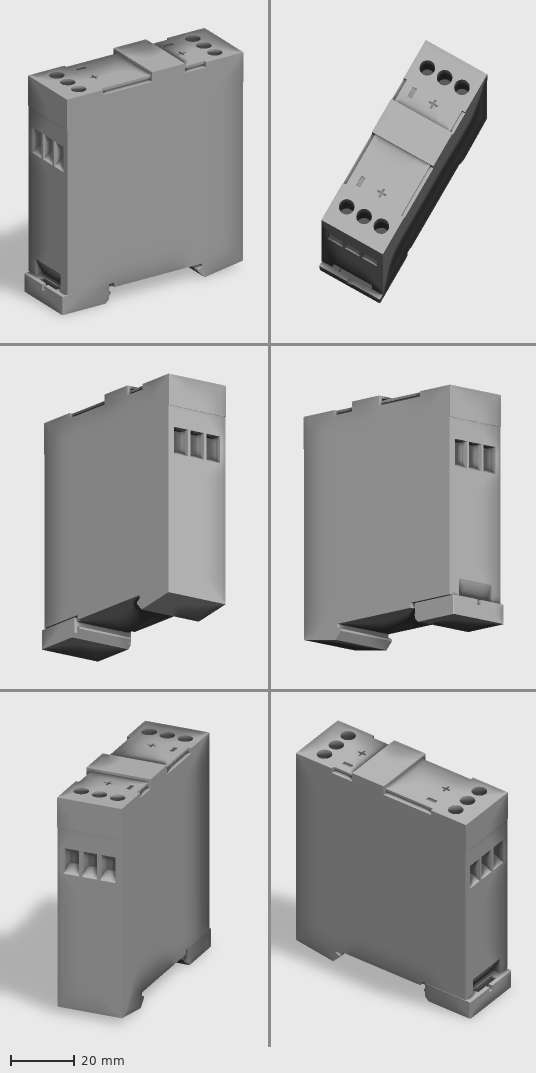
import cadquery as cq

WIDTH = 22.4
HOUSING_TOP = 74.4
HOUSING_FRONT = -32.55
HOUSING_REAR = 34.15
HOUSING_MID = (HOUSING_FRONT + HOUSING_REAR) / 2
HALF_WIDTH = WIDTH / 2

CAP_BOTTOM = 64.05
CAP_OVERHANG = 0.15
BASE_FRONT = HOUSING_FRONT + CAP_OVERHANG
BASE_REAR = HOUSING_REAR - CAP_OVERHANG

RAIL_SEAT = 5.0
FOOT_HEEL = 2.2
FOOT_TOE = 19.6
FOOT_TIP = 17.1
TIP_BOTTOM = 2.5
TIP_TOP = 3.1
HOOK_ROOT_TOP = 3.9
HOOK_DEPTH = 1.5

CLIP_FRONT = -34.15
CLIP_TOP = 6.3
CLIP_SIDE_INSET = 0.15
CLIP_EDGE_CHAMFER = 0.3
CLIP_TIP = -15.25
CLIP_TOE = -17.75
CLIP_CHEEK_REAR = -16.5
CLIP_CORE_WIDTH = 20.0
CLIP_WALL = 1.45
CLIP_SLIDE_FRONT = -29.8
CLIP_SHELF_TOP = 6.15
CLIP_POCKET_WIDTH = 9.6
CLIP_POCKET_LENGTH = 2.05
CLIP_POCKET_DEPTH = 3.0
SLOT_WIDTH = 1.45
SLOT_FRONT_FLOOR = 4.55
SLOT_REAR_FLOOR = 5.1
CLIP_SEAT_TOP = 6.6
CLIP_SEAT_REAR = -14.65

ACCESS_WIDTH = 14.4
ACCESS_TOP = 12.4
ACCESS_DEPTH = 2.8

TERMINAL_PITCH = 6.3
TERMINAL_COUNT = 3
ENTRY_WIDTH = 5.3
ENTRY_BOTTOM = 48.4
ENTRY_TOP = 57.2
ENTRY_DEPTH = 3.95
ENTRY_STRAIGHT = 2.2
ENTRY_BACK_WIDTH = 3.8
ENTRY_BACK_BOTTOM = 50.8
ENTRY_BACK_TOP = 55.2
ENTRY_ROOF_DEPTH = 3.65
BORE_DIAMETER = 4.9
BORE_DEPTH = 15.2
BORE_OFFSET = 25.7

DIAL_OFFSET = 16.5
DIAL_X = 1.15
DIAL_DIAMETER = 4.9
DIAL_HEIGHT = 2.3
CROSS_LENGTH = 3.0
CROSS_WIDTH = 0.7
CROSS_DEPTH = 0.75
LAMP_X = -6.45
LAMP_WIDTH = 1.45
LAMP_LENGTH = 3.5
LAMP_RECESS = 0.6
LAMP_HEIGHT = 1.5
LAMP_TOP = HOUSING_TOP - LAMP_RECESS
LAMP_BOTTOM = LAMP_TOP - LAMP_HEIGHT

GROOVE_REAR = 20.0
GROOVE_FRONT = -18.8
GROOVE_WIDTH = 1.15
GROOVE_BOTTOM = 72.6
UNDERCUT_TOP = 73.55
UNDERCUT_WIDTH = 0.6
BRIDGE_TOP = 75.9
BRIDGE_REAR = 12.1
BRIDGE_FRONT = -0.3
BRIDGE_UNDERSIDE = 75.1

TERMINAL_COLUMNS = [(i - (TERMINAL_COUNT - 1) / 2) * TERMINAL_PITCH for i in range(TERMINAL_COUNT)]
DIAL_ROWS = [HOUSING_MID - DIAL_OFFSET, HOUSING_MID + DIAL_OFFSET]


def block(x_range, y_range, z_range):
    """Box between the given limits."""
    (x0, x1), (y0, y1), (z0, z1) = x_range, y_range, z_range
    return cq.Workplane("XY").box(x1 - x0, y1 - y0, z1 - z0, centered=False).translate((x0, y0, z0))


def prism_along_x(points, width):
    """Prism of a (y, z) outline, centred on x = 0."""
    return cq.Workplane("YZ").polyline(points).close().extrude(width / 2, both=True)


def mirrored_in_x(shape):
    """The shape together with its mirror image across x = 0."""
    return shape.union(shape.mirror("YZ"))


def side_grooves(y_front, y_rear):
    """Both undercut grooves between two y positions."""
    wall = HALF_WIDTH - GROOVE_WIDTH
    channel = block((wall, HALF_WIDTH), (y_front, y_rear), (GROOVE_BOTTOM, HOUSING_TOP))
    undercut = block((wall - UNDERCUT_WIDTH, wall), (y_front, y_rear), (GROOVE_BOTTOM, UNDERCUT_TOP))
    return mirrored_in_x(channel.union(undercut))


def wire_entry(x):
    """Front wire entry: the floor slopes up and the sides taper near the back."""
    front, back = BASE_FRONT, BASE_FRONT + ENTRY_DEPTH
    roof_end = front + ENTRY_ROOF_DEPTH
    side = prism_along_x(
        [
            (front, ENTRY_BOTTOM),
            (back, ENTRY_BACK_BOTTOM),
            (back, ENTRY_BACK_TOP),
            (roof_end, ENTRY_TOP),
            (front, ENTRY_TOP),
        ],
        ENTRY_WIDTH,
    )
    half, half_back = ENTRY_WIDTH / 2, ENTRY_BACK_WIDTH / 2
    bend = front + ENTRY_STRAIGHT
    plan = (
        cq.Workplane("XY", origin=(0, 0, ENTRY_BOTTOM))
        .polyline(
            [(-half, front), (half, front), (half, bend), (half_back, back), (-half_back, back), (-half, bend)]
        )
        .close()
        .extrude(ENTRY_TOP - ENTRY_BOTTOM)
    )
    return side.intersect(plan).translate((x, 0, 0))


def dial_blank(y):
    """Round screw body, flush with the top face."""
    return (
        cq.Workplane("XY", origin=(DIAL_X, y, HOUSING_TOP - DIAL_HEIGHT))
        .circle(DIAL_DIAMETER / 2)
        .extrude(DIAL_HEIGHT)
    )


def lamp_prism(y, z_bottom, z_top):
    """Rectangular prism of the lamp outline."""
    return block(
        (LAMP_X - LAMP_WIDTH / 2, LAMP_X + LAMP_WIDTH / 2),
        (y - LAMP_LENGTH / 2, y + LAMP_LENGTH / 2),
        (z_bottom, z_top),
    )


def housing_blank():
    """Outer shape: the proud cap, the plain sides and the rail hook."""
    outline = [
        (BASE_FRONT, RAIL_SEAT),
        (BASE_FRONT, CAP_BOTTOM),
        (HOUSING_FRONT, CAP_BOTTOM),
        (HOUSING_FRONT, HOUSING_TOP),
        (HOUSING_REAR, HOUSING_TOP),
        (HOUSING_REAR, CAP_BOTTOM),
        (BASE_REAR, CAP_BOTTOM),
        (BASE_REAR, FOOT_HEEL),
        (FOOT_TOE, 0),
        (FOOT_TIP, TIP_BOTTOM),
        (FOOT_TIP, TIP_TOP),
        (FOOT_TIP + HOOK_DEPTH, HOOK_ROOT_TOP),
        (FOOT_TIP + HOOK_DEPTH, RAIL_SEAT),
    ]
    return prism_along_x(outline, WIDTH)


def clip_space():
    """Seat for the sliding clip with the sloping access recess above it."""
    seat = block((-HALF_WIDTH, HALF_WIDTH), (CLIP_FRONT, CLIP_SEAT_REAR), (0, CLIP_SEAT_TOP))
    access = prism_along_x(
        [(BASE_FRONT, CLIP_SEAT_TOP), (BASE_FRONT, ACCESS_TOP), (BASE_FRONT + ACCESS_DEPTH, CLIP_SEAT_TOP)],
        ACCESS_WIDTH,
    )
    return seat.union(access)


def terminal_bores():
    """Blind bores down to the terminal screws."""
    centers = [(x, HOUSING_MID + side * BORE_OFFSET) for x in TERMINAL_COLUMNS for side in (-1, 1)]
    return (
        cq.Workplane("XY", origin=(0, 0, HOUSING_TOP - BORE_DEPTH))
        .pushPoints(centers)
        .circle(BORE_DIAMETER / 2)
        .extrude(BORE_DEPTH)
    )


def make_housing():
    housing = housing_blank().cut(clip_space()).cut(side_grooves(GROOVE_FRONT, GROOVE_REAR))
    for x in TERMINAL_COLUMNS:
        entry = wire_entry(x)
        housing = housing.cut(entry).cut(entry.mirror("XZ", (0, HOUSING_MID, 0)))
    housing = housing.cut(terminal_bores())
    for y in DIAL_ROWS:
        housing = housing.cut(dial_blank(y)).cut(lamp_prism(y, LAMP_BOTTOM, HOUSING_TOP))
    return housing


def clip_jaw():
    """Full-width front of the clip, reaching back as two cheeks."""
    outline = [
        (CLIP_FRONT, 0),
        (CLIP_FRONT, CLIP_TOP),
        (CLIP_CHEEK_REAR, CLIP_TOP),
        (CLIP_CHEEK_REAR, CLIP_CHEEK_REAR - CLIP_TOE),
        (CLIP_TOE, 0),
    ]
    jaw = prism_along_x(outline, WIDTH - 2 * CLIP_SIDE_INSET)
    return jaw.edges("|Z and <Y").chamfer(CLIP_EDGE_CHAMFER)


def clip_core():
    """Middle of the clip: rail hook below, slide against the housing above."""
    outline = [
        (CLIP_TOE, 0),
        (CLIP_TIP, TIP_BOTTOM),
        (CLIP_TIP, TIP_TOP),
        (CLIP_TIP - HOOK_DEPTH, HOOK_ROOT_TOP),
        (CLIP_TIP - HOOK_DEPTH, RAIL_SEAT),
        (CLIP_SEAT_REAR, RAIL_SEAT),
        (CLIP_SEAT_REAR, CLIP_SEAT_TOP),
        (CLIP_SLIDE_FRONT, CLIP_SEAT_TOP),
        (CLIP_SLIDE_FRONT, 0),
    ]
    return prism_along_x(outline, CLIP_CORE_WIDTH)


def make_clip():
    """Sliding rail clip with a pocket and a screwdriver slot at its front."""
    wall_rear = CLIP_FRONT + CLIP_WALL
    half_core = CLIP_CORE_WIDTH / 2
    half_pocket = CLIP_POCKET_WIDTH / 2
    shelf = block((-half_core, half_core), (wall_rear, CLIP_SLIDE_FRONT), (CLIP_SHELF_TOP, CLIP_TOP))
    pocket = block(
        (-half_pocket, half_pocket),
        (wall_rear, wall_rear + CLIP_POCKET_LENGTH),
        (CLIP_TOP - CLIP_POCKET_DEPTH, CLIP_TOP),
    )
    slot = prism_along_x(
        [
            (CLIP_FRONT, SLOT_FRONT_FLOOR),
            (wall_rear, SLOT_REAR_FLOOR),
            (wall_rear, CLIP_TOP),
            (CLIP_FRONT, CLIP_TOP),
        ],
        SLOT_WIDTH,
    )
    return clip_jaw().union(clip_core()).cut(shelf).cut(pocket).cut(slot)


def make_bridge():
    """Label bridge: raised strip whose hooked legs fill the side grooves."""
    roof = block((-HALF_WIDTH, HALF_WIDTH), (BRIDGE_FRONT, BRIDGE_REAR), (BRIDGE_UNDERSIDE, BRIDGE_TOP))
    leg = block(
        (HALF_WIDTH - GROOVE_WIDTH, HALF_WIDTH),
        (BRIDGE_FRONT, BRIDGE_REAR),
        (HOUSING_TOP, BRIDGE_UNDERSIDE),
    )
    return roof.union(mirrored_in_x(leg)).union(side_grooves(BRIDGE_FRONT, BRIDGE_REAR))


def make_dial(y):
    """Adjusting screw with a cross recess."""
    floor = HOUSING_TOP - CROSS_DEPTH
    slot = cq.Workplane("XY", origin=(DIAL_X, y, floor)).rect(CROSS_LENGTH, CROSS_WIDTH).extrude(CROSS_DEPTH)
    cross = slot.union(slot.rotate((DIAL_X, y, 0), (DIAL_X, y, 1), 90))
    return dial_blank(y).cut(cross)


def make_lamp(y):
    return lamp_prism(y, LAMP_BOTTOM, LAMP_TOP)


housing = make_housing()
clip = make_clip()
bridge = make_bridge()
dials = [make_dial(y) for y in DIAL_ROWS]
lamps = [make_lamp(y) for y in DIAL_ROWS]

result = cq.Compound.makeCompound(
    [housing.val(), clip.val(), bridge.val(), *[dial.val() for dial in dials], *[lamp.val() for lamp in lamps]]
)